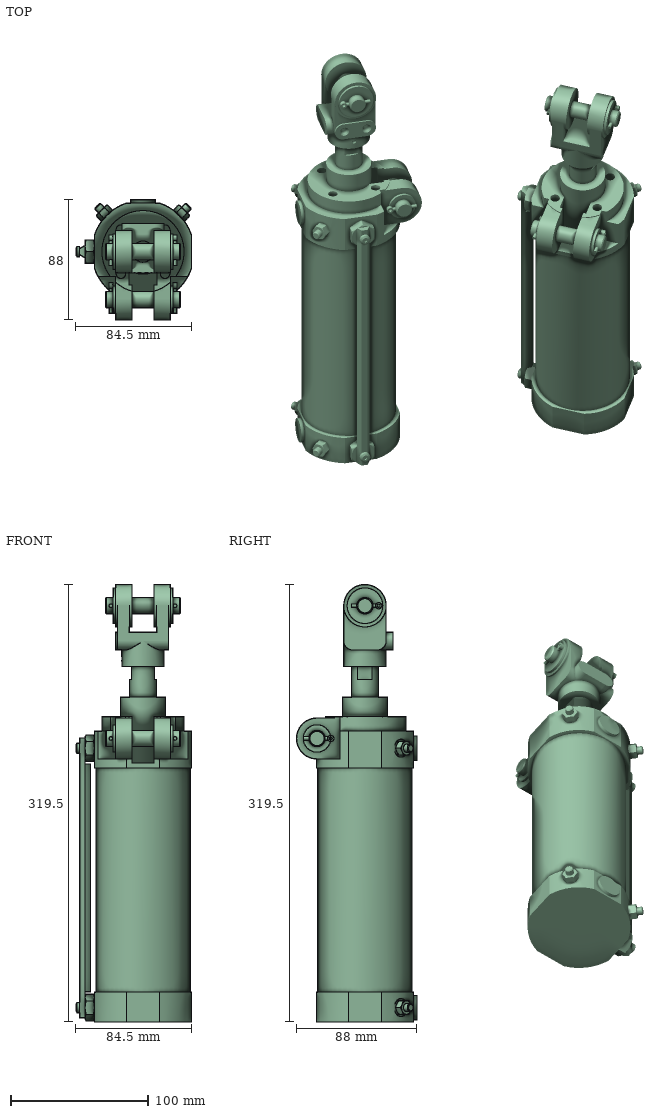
import cadquery as cq
import math


cap_top = 22.0
tube_top = 185.5
head_top = 212.5
disc_top = 223.0
boss_top = 237.3

cover_diameter = 75.0
cover_flat = 35.5
tube_diameter = 69.0
disc_diameter = 60.0
boss_diameter = 33.0
rod_diameter = 20.0

cap_port_z = 10.7
head_port_z = 200.0
fitting_heights = (cap_port_z, head_port_z)
port_diameter = 18.0
port_face_y = 38.0
valve_angles = (45, 135)
valve_across_flats = 10.0
valve_seat = 37.0
valve_seat_diameter = 13.16
valve_hex_face = 42.8
valve_stud_diameter = 6.0
valve_stud_tip = 47.3
stud_chamfer = 0.6

screw_hole_diameter = 6.93
screw_hole_offset = 16.1
screw_hole_depth = 10.0

eye_inner_x = 8.0
eye_outer_x = 20.0
eye_width = eye_outer_x - eye_inner_x
pin_diameter = 12.0
pin_half_length = 27.5
pin_chamfer = 0.8
washer_thickness = 1.8
fork_washer_diameter = 26.0
lug_washer_diameter = 20.0

cotter_x = 23.4
cotter_wire = 2.6
cotter_eye_width = 3.0
cotter_eye_diameter = 4.6
cotter_eye_hole = 2.3
cotter_eye_offset = 10.0
cotter_tail_length = 10.0

lug_radius = 15.0
lug_pin_y = -35.0
lug_pin_z = 207.1
lug_root_y = -18.2
ledge_z = lug_pin_z - lug_radius
slot_floor_z = 189.3
relief_half_width = 10.1
relief_front_y = -24.2

rod_top = 259.5
wrench_flat_width = 17.0
wrench_flat_length = 9.3
nose_diameter = 15.5

eye_radius = 15.5
fork_pin_z = 304.0
fork_bottom = 271.7
pad_height = 13.0
fork_floor = fork_bottom + pad_height
arm_inner_x = 10.0
arm_outer_x = 18.7
pad_half_length = 15.4
side_pad_face_x = 20.0
rear_pad_face_y = 20.6
pad_hole_offset = 8.4
pad_hole_diameter = 4.92
pad_hole_mouth = 6.93
pad_hole_depth = 10.0
collar_screw_diameter = 3.0
collar_screw_z = 265.3

rail_across_flats = 8.0
rail_axis_x = -42.2
rail_end_overhang = 7.6
rail_step_inset = 11.5
spacer_across_flats = 17.0
bolt_head_diameter = 7.6
bolt_head_face_x = -49.0
bolt_face_diameter = 4.92
bolt_head_cone = 0.9
bolt_dimple_diameter = 2.3
bolt_dimple_depth = 1.0



def box(x_range, y_range, z_range):
    """Box between two limits along each axis."""
    lows = [limits[0] for limits in (x_range, y_range, z_range)]
    sizes = [limits[1] - limits[0] for limits in (x_range, y_range, z_range)]
    return cq.Workplane("XY").box(*sizes, centered=False).translate(tuple(lows))


def rod_z(diameter, z_low, z_high):
    """Cylinder on the main axis."""
    return cq.Workplane("XY").workplane(offset=z_low).circle(diameter / 2).extrude(z_high - z_low)


def rod_x(diameter, x_low, x_high, y, z):
    """Cylinder along X."""
    return cq.Workplane("YZ", origin=(x_low, y, z)).circle(diameter / 2).extrude(x_high - x_low)


def rod_y(diameter, y_low, y_high, x, z):
    """Cylinder along Y."""
    plane = cq.Plane(origin=(x, y_low, z), xDir=(1, 0, 0), normal=(0, 1, 0))
    return cq.Workplane(plane).circle(diameter / 2).extrude(y_high - y_low)


def hex_corners(across_flats):
    """Diameter across the corners of a hexagon."""
    return across_flats / math.cos(math.pi / 6)


def hex_nut(plane, across_flats, height):
    """Nut with two corners along the X direction of the plane, chamfered at both ends."""
    corners = hex_corners(across_flats)
    prism = cq.Workplane(plane).polygon(6, corners).extrude(height)
    blank = cq.Workplane(plane).circle(corners / 2).extrude(height)
    chamfer_width = (corners - across_flats) / 2
    chamfer_length = chamfer_width * math.tan(math.pi / 6)
    blank = blank.edges("%CIRCLE").chamfer(chamfer_length, chamfer_width)
    return prism.intersect(blank)



def cover(z_low, z_high):
    """Round cover with four flats."""
    side = (-cover_flat, cover_flat)
    return rod_z(cover_diameter, z_low, z_high).intersect(box(side, side, (z_low, z_high)))


def add_fittings(body, z):
    """Rear port disc, two angled needle valves and the rail spacer of one cover."""
    body = body.union(rod_y(port_diameter, 0, port_face_y, 0, z))
    for angle in valve_angles:
        outward = (math.cos(math.radians(angle)), math.sin(math.radians(angle)), 0)
        sideways = (-outward[1], outward[0], 0)
        plane = cq.Plane(origin=(0, 0, z), xDir=sideways, normal=outward)
        stud = cq.Workplane(plane).circle(valve_stud_diameter / 2).extrude(valve_stud_tip)
        stud = stud.faces(cq.selectors.DirectionMinMaxSelector(cq.Vector(outward))).chamfer(stud_chamfer)
        seat = tuple(valve_seat * part for part in outward)
        nut_plane = cq.Plane(origin=(seat[0], seat[1], z), xDir=sideways, normal=outward)
        nut_height = valve_hex_face - valve_seat
        nut = hex_nut(nut_plane, valve_across_flats, nut_height)
        spot_face = cq.Workplane(nut_plane).circle(valve_seat_diameter / 2).extrude(nut_height)
        body = body.cut(spot_face).union(stud).union(nut)
    spacer_plane = cq.Plane(origin=(-cover_flat, 0, z), xDir=(0, 0, 1), normal=(-1, 0, 0))
    return body.union(hex_nut(spacer_plane, spacer_across_flats, -cover_flat - rail_axis_x))



def make_barrel():
    barrel = cover(0, cap_top).union(rod_z(tube_diameter, cap_top, tube_top))
    return add_fittings(barrel, cap_port_z)



def make_lug(x_low):
    """Lug with a round eye, running back into the head."""
    block = box((x_low, x_low + eye_width), (lug_pin_y, lug_root_y), (ledge_z, lug_pin_z + lug_radius))
    return block.union(rod_x(2 * lug_radius, x_low, x_low + eye_width, lug_pin_y, lug_pin_z))


def make_clevis_head():
    cover_front = -cover_diameter / 2
    slot = (-eye_inner_x, eye_inner_x)
    relief = (-relief_half_width, relief_half_width)
    disc = rod_z(disc_diameter, head_top, disc_top)
    head = cover(tube_top, head_top).union(disc)
    full_width = (-cover_diameter, cover_diameter)
    head = head.cut(box(full_width, (cover_front, lug_root_y), (ledge_z, disc_top)))
    for x_low in (-eye_outer_x, eye_inner_x):
        head = head.union(make_lug(x_low))
    crown_strip = box((-eye_outer_x, eye_outer_x), (cover_front, lug_root_y), (head_top, disc_top))
    head = head.union(disc.intersect(crown_strip))
    head = head.cut(box(slot, (cover_front, 0), (slot_floor_z, disc_top)))
    head = head.cut(box(relief, (relief_front_y, 0), (slot_floor_z, disc_top)))
    head = head.union(rod_z(boss_diameter, tube_top, boss_top))
    head = add_fittings(head, head_port_z)
    corners = [(x, y) for x in (-screw_hole_offset, screw_hole_offset)
               for y in (-screw_hole_offset, screw_hole_offset)]
    holes = cq.Workplane("XY").workplane(offset=disc_top).pushPoints(corners)
    head = head.cut(holes.circle(screw_hole_diameter / 2).extrude(-screw_hole_depth))
    head = head.cut(rod_z(rod_diameter, tube_top, boss_top))
    return head.cut(rod_x(pin_diameter, -eye_outer_x, eye_outer_x, lug_pin_y, lug_pin_z))



def make_piston_rod():
    rod = rod_z(rod_diameter, tube_top, rod_top)
    flats_bottom = rod_top - wrench_flat_length
    half_flat = wrench_flat_width / 2
    side = (-rod_diameter, rod_diameter)
    flat_zone = box((-half_flat, half_flat), side, (flats_bottom, rod_top))
    rod = rod.intersect(flat_zone.union(rod_z(rod_diameter, tube_top, flats_bottom)))
    return rod.union(rod_z(nose_diameter, rod_top, fork_floor))



def make_fork():
    side = (-arm_outer_x, arm_outer_x)
    depth = (-eye_radius, eye_radius)
    pad_z = fork_bottom + pad_height / 2
    fork = box(side, depth, (fork_bottom, fork_pin_z))
    fork = fork.edges("|X and <Z").fillet(pad_height / 2)
    fork = fork.union(rod_z(2 * eye_radius, rod_top, fork_floor))
    for x_low in (-eye_outer_x, eye_inner_x):
        fork = fork.union(rod_x(2 * eye_radius, x_low, x_low + eye_width, 0, fork_pin_z))
    eyes = rod_x(2 * eye_radius, -arm_inner_x, arm_inner_x, 0, fork_pin_z)
    gap = box((-arm_inner_x, arm_inner_x), depth, (fork_floor, fork_pin_z)).cut(eyes)
    inner_gap = box((-eye_inner_x, eye_inner_x), depth, (fork_floor, fork_pin_z))
    fork = fork.cut(gap).cut(inner_gap)

    side_plane = cq.Plane(origin=(-side_pad_face_x, 0, pad_z), xDir=(0, 1, 0), normal=(1, 0, 0))
    rear_plane = cq.Plane(origin=(0, rear_pad_face_y, pad_z), xDir=(1, 0, 0), normal=(0, -1, 0))
    for plane, thickness in ((side_plane, side_pad_face_x), (rear_plane, rear_pad_face_y)):
        fork = fork.union(cq.Workplane(plane).slot2D(2 * pad_half_length, pad_height).extrude(thickness))
    mouth_depth = (pad_hole_mouth - pad_hole_diameter) / 2
    bottom_x = pad_hole_depth - side_pad_face_x
    for y in (-pad_hole_offset, pad_hole_offset):
        mouth_plane = cq.Plane(origin=(0, y, pad_z), xDir=(1, 0, 0), normal=(0, 0, 1))
        profile = [
            (-side_pad_face_x, 0),
            (-side_pad_face_x, pad_hole_mouth / 2),
            (mouth_depth - side_pad_face_x, pad_hole_diameter / 2),
            (bottom_x, pad_hole_diameter / 2),
            (bottom_x, 0),
        ]
        fork = fork.cut(cq.Workplane(mouth_plane).polyline(profile).close().revolve(360, (0, 0), (1, 0)))
    fork = fork.cut(rod_x(collar_screw_diameter, -eye_radius, 0, 0, collar_screw_z))
    fork = fork.cut(rod_z(nose_diameter, rod_top, fork_floor))
    return fork.cut(rod_x(pin_diameter, -eye_outer_x, eye_outer_x, 0, fork_pin_z))



def make_pin(y, z, washer_diameter):
    pin = rod_x(pin_diameter, -pin_half_length, pin_half_length, y, z)
    pin = pin.faces("<X or >X").chamfer(pin_chamfer)
    for x_low in (-eye_outer_x - washer_thickness, eye_outer_x):
        pin = pin.union(rod_x(washer_diameter, x_low, x_low + washer_thickness, y, z))
    for x in (-cotter_x, cotter_x):
        faces = (x - cotter_eye_width / 2, x + cotter_eye_width / 2)
        eye_y = y + cotter_eye_offset
        pin = pin.union(rod_y(cotter_wire, y - cotter_tail_length, eye_y, x, z))
        pin = pin.union(rod_x(cotter_eye_diameter, *faces, eye_y, z))
        pin = pin.cut(rod_x(cotter_eye_hole, *faces, eye_y, z))
    return pin



def make_rail():
    corners = hex_corners(rail_across_flats)
    outer_x = rail_axis_x - rail_across_flats / 2
    inner_x = rail_axis_x + rail_across_flats / 2
    z_low = cap_port_z - rail_end_overhang
    z_high = head_port_z + rail_end_overhang
    plane = cq.Plane(origin=(rail_axis_x, 0, z_low), xDir=(0, 1, 0), normal=(0, 0, 1))
    rail = cq.Workplane(plane).polygon(6, corners).extrude(z_high - z_low)
    width = (-corners, corners)
    rail = rail.cut(box((rail_axis_x, inner_x), width, (z_low, cap_port_z + rail_step_inset)))
    rail = rail.cut(box((rail_axis_x, inner_x), width, (head_port_z - rail_step_inset, z_high)))
    cone_width = (bolt_head_diameter - bolt_face_diameter) / 2
    dimple_bottom = bolt_head_face_x + bolt_dimple_depth
    for z in fitting_heights:
        bolt = rod_x(bolt_head_diameter, bolt_head_face_x, outer_x, 0, z)
        bolt = bolt.faces("<X").chamfer(bolt_head_cone, cone_width)
        bolt = bolt.cut(rod_x(bolt_dimple_diameter, bolt_head_face_x, dimple_bottom, 0, z))
        rail = rail.union(bolt)
    return rail


barrel = make_barrel()
clevis_head = make_clevis_head()
piston_rod = make_piston_rod()
fork = make_fork()
lug_pin = make_pin(lug_pin_y, lug_pin_z, lug_washer_diameter)
fork_pin = make_pin(0, fork_pin_z, fork_washer_diameter)
rail = make_rail()

bodies = [barrel, clevis_head, piston_rod, fork, lug_pin, fork_pin, rail]
result = cq.Compound.makeCompound([body.solids().val() for body in bodies])